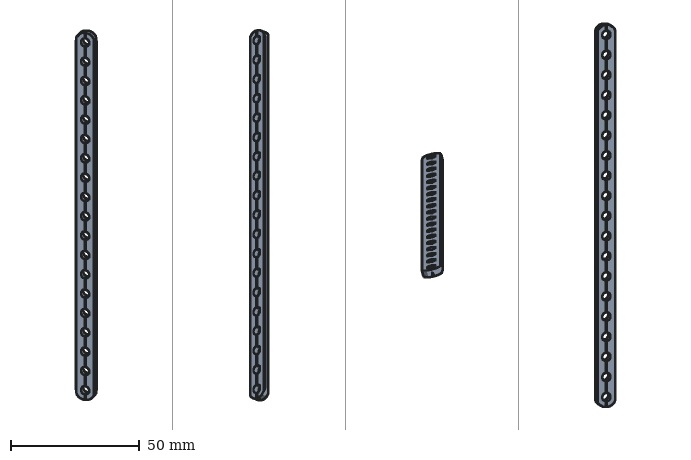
import cadquery as cq

length = 152.0
hole_count = 19
thickness = 2.9
hole_diameter = 3.3
edge_chamfer = 0.53
groove_width = 0.6
groove_depth = 1.8

pitch = length / hole_count
width = pitch
front_y = -thickness / 2


def make_strip():
    """Strip with chamfered long edges and full-round ends, centred on the origin."""
    bar = cq.Workplane("XY").box(width, thickness, length).edges("|Z").chamfer(edge_chamfer)
    round_ended_blank = (
        cq.Workplane("XZ", origin=(0, front_y, 0))
        .slot2D(length, width, 90)
        .extrude(-thickness)
    )
    return bar.intersect(round_ended_blank)


def make_holes():
    """Row of through holes, the end ones concentric with the round ends."""
    return (
        cq.Workplane("XZ", origin=(0, front_y, 0))
        .rarray(1.5, pitch, 1, hole_count)
        .circle(hole_diameter / 2)
        .extrude(-thickness)
    )


def make_groove():
    """Narrow V-groove along the middle of the -Y face, running out through both tips."""
    return (
        cq.Workplane("XY", origin=(0, front_y, -length / 2))
        .moveTo(-groove_width / 2, 0)
        .lineTo(groove_width / 2, 0)
        .lineTo(0, groove_depth)
        .close()
        .extrude(length)
    )


result = make_strip().cut(make_holes()).cut(make_groove())